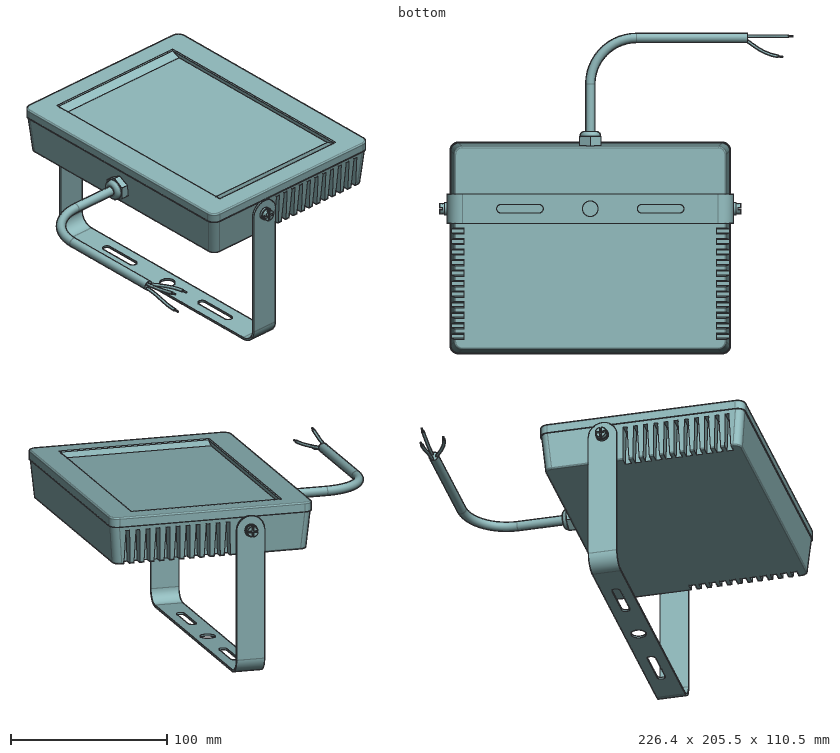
import cadquery as cq
import math


overall_length = 226.4
overall_width = 205.5
overall_height = 110.5

bezel_length = 180.0
bezel_width = 135.8
lamp_height = 31.7
bezel_height = 6.3
bezel_corner_radius = 5.7
bezel_edge_radius = 1.0
bezel_overhang = 0.7
housing_height = lamp_height - bezel_height
housing_side_inset = 3.0
housing_corner_radius = 5.0
housing_edge_radius = 1.0
root_depth = 5.9

window_length = 154.0
window_width = 101.0
window_depth = 3.0
window_lip = 0.7
window_floor_length = 140.0
window_floor_width = 99.2

groove_count = 11
groove_row_length = 67.5
groove_pitch = groove_row_length / (groove_count - 1)
first_groove_y = 56.5
groove_top_z = 22.6
groove_top_width = 2.5
groove_bottom_width = 4.0
groove_depth = 9.0
groove_floor_x = bezel_length / 2 - groove_depth

bracket_span = 183.8
bracket_width = 18.8
bracket_thickness = 1.4
bracket_bend_radius = 10.0
bracket_bottom_z = lamp_height - overall_height
slot_width = 5.5
slot_length = 29.9
slot_offset = 45.0
center_hole_diameter = 10.0

pivot_y = -25.1
pivot_z = 17.0
screw_span = 193.0
screw_head_diameter = 7.0
screw_flange_diameter = 8.1
screw_flange_thickness = 1.5
shank_diameter = 5.0
boss_diameter = 10.0
cross_length = screw_head_diameter
cross_width = 1.1
cross_depth = 1.8

gland_z = 12.5
gland_across_flats = 14.0
gland_nut_end_y = -71.3
gland_cap_diameter = 13.1
gland_cap_length = 3.5
gland_cap_radius = 2.7

cable_diameter = 6.0
cable_bend_radius = 29.7
cable_end_x = 100.7
cable_front_y = bezel_width / 2 - overall_width
cable_axis_y = cable_front_y + cable_diameter / 2
wire_diameter = 1.8
wire_circle_radius = 2.0
core_diameter = 1.0
core_length = 3.0
longest_tip_x = overall_length - screw_span / 2


def rounded_housing():
    """Tapered tub below the bezel, with rounded corners and a rounded back edge."""
    lean = math.degrees(math.atan((housing_side_inset - bezel_overhang) / housing_height))
    return (
        cq.Workplane("XY", origin=(0, 0, housing_height))
        .rect(bezel_length - 2 * bezel_overhang, bezel_width - 2 * bezel_overhang)
        .extrude(-housing_height, taper=lean)
        .edges("not(|X or |Y)").fillet(housing_corner_radius)
        .faces("<Z").edges().fillet(housing_edge_radius)
    )


def bezel():
    """Flat frame on top of the housing."""
    return (
        cq.Workplane("XY", origin=(0, 0, housing_height))
        .rect(bezel_length, bezel_width)
        .extrude(bezel_height)
        .edges("|Z").fillet(bezel_corner_radius)
        .faces(">Z").edges().fillet(bezel_edge_radius)
    )


def window_recess():
    """Chamfered opening above a shallow recess whose sides slope to the floor."""
    inner_length = window_length - 2 * window_lip
    inner_width = window_width - 2 * window_lip
    lip = (
        cq.Workplane("XY", origin=(0, 0, lamp_height))
        .rect(window_length, window_width)
        .workplane(offset=-window_lip)
        .rect(inner_length, inner_width)
        .loft(ruled=True)
    )
    basin = (
        cq.Workplane("XY", origin=(0, 0, lamp_height - window_lip))
        .rect(inner_length, inner_width)
        .workplane(offset=window_lip - window_depth)
        .rect(window_floor_length, window_floor_width)
        .loft(ruled=True)
    )
    return lip.union(basin)


def cooling_groove(y, side):
    """Groove that widens toward the back, cut into the end on the given side (-1 or 1)."""
    half_top = groove_top_width / 2
    half_bottom = groove_bottom_width / 2
    return (
        cq.Workplane("YZ", origin=(side * groove_floor_x, y, 0))
        .polyline([
            (-half_bottom, 0),
            (half_bottom, 0),
            (half_top, groove_top_z),
            (-half_top, groove_top_z),
        ])
        .close()
        .extrude(side * groove_depth)
    )


def pivot_rod(diameter, start_x, end_x, side):
    """Cylinder on the pivot axis between two distances from the lamp's middle."""
    return (
        cq.Workplane("YZ", origin=(side * start_x, pivot_y, pivot_z))
        .circle(diameter / 2)
        .extrude(side * (end_x - start_x))
    )


def pivot_screw(side):
    """Boss, shank, flange and cross-recessed head on one end of the lamp."""
    inside_x = bezel_length / 2 - root_depth
    plate_outer_x = bracket_span / 2
    plate_inner_x = plate_outer_x - bracket_thickness
    flange_end_x = plate_outer_x + screw_flange_thickness
    head_end_x = screw_span / 2

    boss = pivot_rod(boss_diameter, inside_x, plate_inner_x, side)
    shank = pivot_rod(shank_diameter, inside_x, flange_end_x, side)
    flange = pivot_rod(screw_flange_diameter, plate_outer_x, flange_end_x, side)
    head = pivot_rod(screw_head_diameter, plate_outer_x, head_end_x, side)
    screw = boss.union(shank).union(flange).union(head)
    for slot_y, slot_z in ((cross_length, cross_width), (cross_width, cross_length)):
        slot = (
            cq.Workplane("YZ", origin=(side * head_end_x, pivot_y, pivot_z))
            .rect(slot_y, slot_z)
            .extrude(-side * cross_depth)
        )
        screw = screw.cut(slot)
    return screw


def cable_gland():
    """Hexagonal nut with two corners up and down, and a rounded cap in front of it."""
    nut_start_y = -bezel_width / 2 + root_depth
    nut = (
        cq.Workplane("XZ", origin=(0, nut_start_y, gland_z))
        .polygon(6, gland_across_flats, circumscribed=True)
        .extrude(nut_start_y - gland_nut_end_y)
    )
    cap = (
        cq.Workplane("XZ", origin=(0, gland_nut_end_y, gland_z))
        .circle(gland_cap_diameter / 2)
        .extrude(gland_cap_length)
        .faces("<Y").edges().fillet(gland_cap_radius)
    )
    return nut.union(cap)


def cable():
    """Round cable that leaves the gland along -Y and bends a quarter turn to +X."""
    bend_start_y = cable_axis_y + cable_bend_radius
    arc_offset = cable_bend_radius * (1 - math.cos(math.pi / 4))
    path = (
        cq.Workplane("XY", origin=(0, 0, gland_z))
        .moveTo(0, gland_nut_end_y)
        .lineTo(0, bend_start_y)
        .threePointArc((arc_offset, cable_axis_y + arc_offset), (cable_bend_radius, cable_axis_y))
        .lineTo(cable_end_x, cable_axis_y)
    )
    return (
        cq.Workplane("XZ", origin=(0, gland_nut_end_y, gland_z))
        .circle(cable_diameter / 2)
        .sweep(path)
    )


def wire(angle, reach, start_direction, end_direction):
    """Insulated wire with a bare core at its tip.

    angle places the wire around the cable axis, measured from +Y toward +Z;
    reach is the (x, y, z) step from the wire's start to the end of its insulation.
    """
    start = cq.Vector(
        cable_end_x,
        cable_axis_y + wire_circle_radius * math.cos(math.radians(angle)),
        gland_z + wire_circle_radius * math.sin(math.radians(angle)),
    )
    end = start + cq.Vector(*reach)
    curve = cq.Edge.makeSpline(
        [start, end], tangents=[cq.Vector(*start_direction), cq.Vector(*end_direction)]
    )
    insulation = (
        cq.Workplane(cq.Plane(origin=start, normal=start_direction))
        .circle(wire_diameter / 2)
        .sweep(cq.Workplane(obj=cq.Wire.assembleEdges([curve])))
    )
    core = (
        cq.Workplane(cq.Plane(origin=end, normal=end_direction))
        .circle(core_diameter / 2)
        .extrude(core_length)
    )
    return insulation.union(core)


def wires():
    """Three wires that fan out: one sideways, one up and one down."""
    along_cable = (1, 0, 0)
    lower_reach_x = longest_tip_x - core_length - cable_end_x
    side_wire = wire(
        angle=0,
        reach=(19.7, 9.7, 0),
        start_direction=(1, 0.75, 0),
        end_direction=(1, 0.15, 0),
    )
    upper_wire = wire(
        angle=120,
        reach=(23.5, 0, 3.6),
        start_direction=along_cable,
        end_direction=(1, 0, 0.2),
    )
    lower_wire = wire(
        angle=240,
        reach=(lower_reach_x, 0, -4.3),
        start_direction=along_cable,
        end_direction=along_cable,
    )
    return [side_wire, upper_wire, lower_wire]


def make_lamp():
    """Lamp body in one piece with its screws, gland, cable and wires."""
    lamp = rounded_housing().union(bezel()).cut(window_recess())
    for side in (-1, 1):
        for i in range(groove_count):
            lamp = lamp.cut(cooling_groove(first_groove_y - i * groove_pitch, side))
        lamp = lamp.union(pivot_screw(side))
    lamp = lamp.union(cable_gland()).union(cable())
    for strand in wires():
        lamp = lamp.union(strand)
    return lamp


def make_bracket():
    """Bent strip with round-ended arms, pivot holes, two slots and a centre hole."""
    arm_radius = bracket_width / 2
    arm_top_z = pivot_z + arm_radius
    height = arm_top_z - bracket_bottom_z
    mid_z = (arm_top_z + bracket_bottom_z) / 2

    outside = (
        cq.Workplane("XY")
        .box(bracket_span, bracket_width, height)
        .edges("|Y and <Z").fillet(bracket_bend_radius)
    )
    inside = (
        cq.Workplane("XY")
        .box(bracket_span - 2 * bracket_thickness, bracket_width, height)
        .edges("|Y and <Z").fillet(bracket_bend_radius - bracket_thickness)
        .translate((0, 0, bracket_thickness))
    )
    strip = outside.cut(inside).translate((0, pivot_y, mid_z))
    end_profile = (
        cq.Workplane("YZ", origin=(-bracket_span / 2, pivot_y, pivot_z))
        .moveTo(-arm_radius, 0)
        .threePointArc((0, arm_radius), (arm_radius, 0))
        .lineTo(arm_radius, bracket_bottom_z - pivot_z)
        .lineTo(-arm_radius, bracket_bottom_z - pivot_z)
        .close()
        .extrude(bracket_span)
    )
    strip = strip.intersect(end_profile)

    pivot_holes = (
        cq.Workplane("YZ", origin=(-bracket_span / 2, pivot_y, pivot_z))
        .circle(shank_diameter / 2)
        .extrude(bracket_span)
    )
    base_openings = (
        cq.Workplane("XY", origin=(0, pivot_y, bracket_bottom_z))
        .pushPoints([(-slot_offset, 0), (slot_offset, 0)])
        .slot2D(slot_length, slot_width)
        .extrude(bracket_thickness)
        .union(
            cq.Workplane("XY", origin=(0, pivot_y, bracket_bottom_z))
            .circle(center_hole_diameter / 2)
            .extrude(bracket_thickness)
        )
    )
    return strip.cut(pivot_holes).cut(base_openings)


lamp = make_lamp()
bracket = make_bracket()
result = cq.Compound.makeCompound([lamp.val(), bracket.val()])